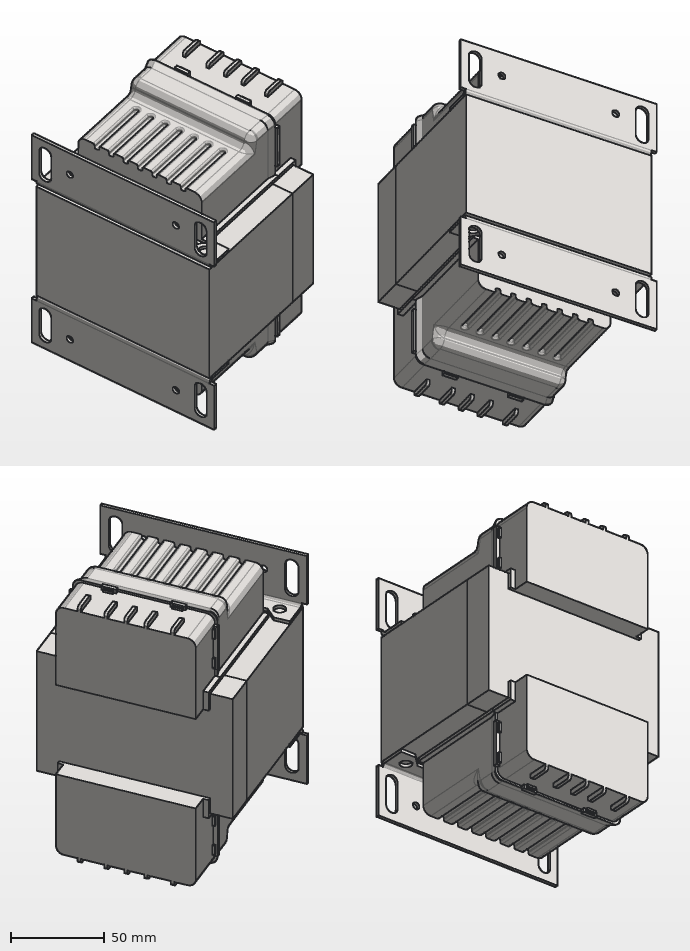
import cadquery as cq
import math


core_width = 114.5
core_depth = 95.0
core_height = 77.8
core_split_y = 76.0
core_top = core_height / 2

sheet = 2.0

plate_width = 120.7
plate_top = 74.1
bend_inner_radius = 1.7
bend_outer_radius = bend_inner_radius + sheet
foot_depth = 17.9
foot_middle_depth = 11.5
foot_relief_half_width = 41.4
foot_hole_diameter = 7.0
foot_hole_x = 47.5
foot_hole_y = 9.3
slot_width = 7.8
slot_length = 23.5
slot_x = 51.4
slot_below_top = 16.7
plate_hole_diameter = 4.2
plate_hole_x = 35.0
plate_hole_below_top = 15.2

cover_width = 81.6
cover_top = 80.3
cover_edge_radius = 4.8
cover_joint_y = 81.1
flange_width = 88.1

front_cover_start_y = 15.7
low_top = 72.1
step_y = 61.0
step_lean_angle = 11.0
rim_flare = 1.3
rim_start_y = core_split_y
rim_band = 0.7

groove_count = 7
groove_pitch = 9.5
groove_end_y = 54.0
groove_width = 3.0
groove_depth = 3.0
groove_lip_radius = 1.2
groove_floor_radius = 1.0

latch_height = 2.5
latch_depth = 2.2
latch_nose_height = 1.3
latch_nose_depth = 1.3
latch_nose_length = 6.0
latch_nose_setback = 1.3
top_latch_length = 8.7
top_latch_x = 20.2
side_latch_length = 27.5
side_latch_z = 60.8

rear_y = 107.0
skirt_bottom = 29.0
rib_positions = (-27.2, -11.7, 0.0, 11.7, 27.2)
rib_width = 2.0
rib_length = 13.5
rib_top = 83.5
rib_corner_radius = 2.0


def box(x_range, y_range, z_range):
    """Box between the given limits along X, Y and Z."""
    spans = [(low, high - low) for low, high in (x_range, y_range, z_range)]
    size = [length for _, length in spans]
    corner = [low for low, _ in spans]
    return cq.Workplane("XY").box(*size, centered=False).translate(tuple(corner))


def centred(width):
    """Limits of a width centred on zero."""
    return (-width / 2, width / 2)


def make_core_stack():
    return box(centred(core_width), (0, core_split_y), centred(core_height))


def make_core_yoke():
    return box(centred(core_width), (core_split_y, core_depth), centred(core_height))


def bracket_sheet():
    """Foot and bend as wide as the core, and the wider upright plate."""
    foot_top = core_top + sheet
    bend_top = core_top + bend_outer_radius
    outer_mid = bend_outer_radius * (1 - math.sqrt(0.5))
    inner_mid = bend_outer_radius - bend_inner_radius * math.sqrt(0.5)
    bent = (
        cq.Workplane("YZ")
        .moveTo(foot_depth, core_top)
        .lineTo(bend_outer_radius, core_top)
        .threePointArc((outer_mid, core_top + outer_mid), (0, bend_top))
        .lineTo(sheet, bend_top)
        .threePointArc((inner_mid, core_top + inner_mid), (bend_outer_radius, foot_top))
        .lineTo(foot_depth, foot_top)
        .close()
        .extrude(core_width / 2, both=True)
    )
    return bent.union(box(centred(plate_width), (0, sheet), (bend_top, plate_top)))


def foot_relief():
    """Recess between the foot ears, with 45 degree ends."""
    ear_half_gap = foot_relief_half_width + foot_depth - foot_middle_depth
    return (
        cq.Workplane("XY", origin=(0, 0, core_top))
        .polyline([
            (-foot_relief_half_width, foot_middle_depth),
            (foot_relief_half_width, foot_middle_depth),
            (ear_half_gap, foot_depth),
            (-ear_half_gap, foot_depth),
        ])
        .close()
        .extrude(sheet)
    )


def foot_holes():
    return (
        cq.Workplane("XY", origin=(0, foot_hole_y, core_top))
        .pushPoints([(-foot_hole_x, 0), (foot_hole_x, 0)])
        .circle(foot_hole_diameter / 2)
        .extrude(sheet)
    )


def plate_openings():
    slot_z = plate_top - slot_below_top
    hole_z = plate_top - plate_hole_below_top
    slots = (
        cq.Workplane("XZ")
        .pushPoints([(-slot_x, slot_z), (slot_x, slot_z)])
        .slot2D(slot_length, slot_width, 90)
        .extrude(-sheet)
    )
    holes = (
        cq.Workplane("XZ")
        .pushPoints([(-plate_hole_x, hole_z), (plate_hole_x, hole_z)])
        .circle(plate_hole_diameter / 2)
        .extrude(-sheet)
    )
    return slots.union(holes)


def make_bracket():
    return bracket_sheet().cut(foot_relief()).cut(foot_holes()).cut(plate_openings())


def low_block():
    """Full-length lower part of the front cover, with rounded shoulders."""
    return (
        box(centred(cover_width), (front_cover_start_y, cover_joint_y), (core_top, low_top))
        .edges("|Y and >Z")
        .fillet(cover_edge_radius)
    )


def high_block():
    """Higher part of the front cover, with a slightly leaning front face and rounded edges."""
    step_middle_z = (low_top + cover_top) / 2
    lean = math.tan(math.radians(step_lean_angle))
    front_bottom_y = step_y - (step_middle_z - core_top) * lean
    front_top_y = step_y + (cover_top - step_middle_z) * lean
    return (
        cq.Workplane("YZ")
        .polyline([
            (front_bottom_y, core_top),
            (front_top_y, cover_top),
            (cover_joint_y, cover_top),
            (cover_joint_y, core_top),
        ])
        .close()
        .extrude(cover_width / 2, both=True)
        .faces("<Y").edges("not(|X)").fillet(cover_edge_radius)
        .faces(">Z").edges("not(>Y)").fillet(cover_edge_radius)
    )


def front_cover_shell():
    """High and low blocks joined by a rounded inside corner along the step."""
    blocks = low_block().union(high_block())
    reach = cover_edge_radius / 2
    step_line = cq.selectors.BoxSelector(
        (-reach, step_y - reach, low_top - reach),
        (reach, step_y + reach, low_top + reach),
    )
    return blocks.edges("|X").edges(step_line).fillet(cover_edge_radius)


def rim_section(y, offset):
    """Closed outline of the cover, grown by an offset, in the plane at depth y."""
    half = cover_width / 2 + offset
    top = cover_top + offset
    radius = cover_edge_radius
    bevel = radius * (1 - math.sqrt(0.5))
    return (
        cq.Workplane("XZ", origin=(0, y, 0))
        .moveTo(-half, core_top)
        .lineTo(-half, top - radius)
        .threePointArc((-half + bevel, top - bevel), (-half + radius, top))
        .lineTo(half - radius, top)
        .threePointArc((half - bevel, top - bevel), (half, top - radius))
        .lineTo(half, core_top)
        .close()
    )


def front_cover_rim():
    """Rim that widens toward the joint and ends in a short straight band."""
    band_start_y = cover_joint_y - rim_band
    narrow = rim_section(rim_start_y, 0).val()
    wide = rim_section(band_start_y, rim_flare).val()
    flare = cq.Workplane(cq.Solid.makeLoft([narrow, wide], True))
    return flare.union(rim_section(band_start_y, rim_flare).extrude(-rim_band))


def groove_half_section(y):
    """Half of the groove section at depth y: rolled lip, straight wall, rounded corner, flat floor."""
    half = groove_width / 2
    mouth = half + groove_lip_radius
    floor = low_top - groove_depth
    lip_mid = groove_lip_radius * (1 - math.sqrt(0.5))
    corner_mid = groove_floor_radius * (1 - math.sqrt(0.5))
    return (
        cq.Workplane("XZ", origin=(0, y, 0))
        .moveTo(0, low_top)
        .lineTo(mouth, low_top)
        .threePointArc((half + lip_mid, low_top - lip_mid), (half, low_top - groove_lip_radius))
        .lineTo(half, floor + groove_floor_radius)
        .threePointArc((half - corner_mid, floor + corner_mid), (half - groove_floor_radius, floor))
        .lineTo(0, floor)
        .close()
    )


def groove():
    """Round-ended groove at X = 0, open at the front."""
    end_centre_y = groove_end_y - groove_width / 2 - groove_lip_radius
    half_run = groove_half_section(end_centre_y).extrude(end_centre_y - front_cover_start_y)
    run = half_run.union(half_run.mirror("YZ"))
    end = groove_half_section(end_centre_y).revolve(360, (0, 0, 0), (0, 1, 0))
    return run.union(end)


def latch(length):
    """Latch on a surface at Z = 0, running along X, with its foot at Y = 0 and a nose near each end.

    On a short latch the two noses coincide and make one.
    """
    piece = box(centred(length), (0, latch_depth), (0, latch_height))
    nose_x = length / 2 - latch_nose_setback - latch_nose_length / 2
    nose_span = (latch_depth, latch_depth + latch_nose_depth)
    for centre in (-nose_x, nose_x):
        nose = box(centred(latch_nose_length), nose_span, (0, latch_nose_height))
        piece = piece.union(nose.translate((centre, 0, 0)))
    return piece


def front_cover_latches():
    """Two latches on the top and one on each side."""
    top_latch = latch(top_latch_length)
    side_latch = latch(side_latch_length)
    placed = []
    for side in (-1, 1):
        placed.append(top_latch.translate((side * top_latch_x, cover_joint_y, cover_top)))
        turned = side_latch.rotate((0, 0, 0), (0, 1, 0), side * 90)
        placed.append(turned.translate((side * cover_width / 2, cover_joint_y, side_latch_z)))
    return placed


def make_front_cover():
    flange = box(
        centred(flange_width), (front_cover_start_y, cover_joint_y), (core_top, core_top + sheet)
    )
    cover = front_cover_shell().union(front_cover_rim()).union(flange)
    for piece in front_cover_latches():
        cover = cover.union(piece)
    first_x = -groove_pitch * (groove_count - 1) / 2
    for index in range(groove_count):
        cover = cover.cut(groove().translate((first_x + index * groove_pitch, 0, 0)))
    return cover


def rib(x):
    """Upright rib with rounded ends, rooted inside the cover."""
    return (
        box((x - rib_width / 2, x + rib_width / 2), (rear_y - rib_length, rear_y), (low_top, rib_top))
        .edges("|X and >Z")
        .fillet(rib_corner_radius)
    )


def make_rear_cover():
    """Cover with a flange that laps over the top and back of the core yoke."""
    body = (
        box(centred(cover_width), (cover_joint_y, rear_y), (skirt_bottom, cover_top))
        .edges("|Y and >Z")
        .fillet(cover_edge_radius)
    )
    flange = box(
        centred(flange_width), (cover_joint_y, core_depth + sheet), (skirt_bottom, core_top + sheet)
    )
    cover = body.union(flange).cut(make_core_yoke())
    for x in rib_positions:
        cover = cover.union(rib(x))
    return cover


core_stack = make_core_stack()
core_yoke = make_core_yoke()
bodies = [core_stack.val(), core_yoke.val()]
for upper in (make_bracket(), make_front_cover(), make_rear_cover()):
    lower = upper.mirror("XY")
    bodies += [upper.solids().val(), lower.solids().val()]

result = cq.Compound.makeCompound(bodies)